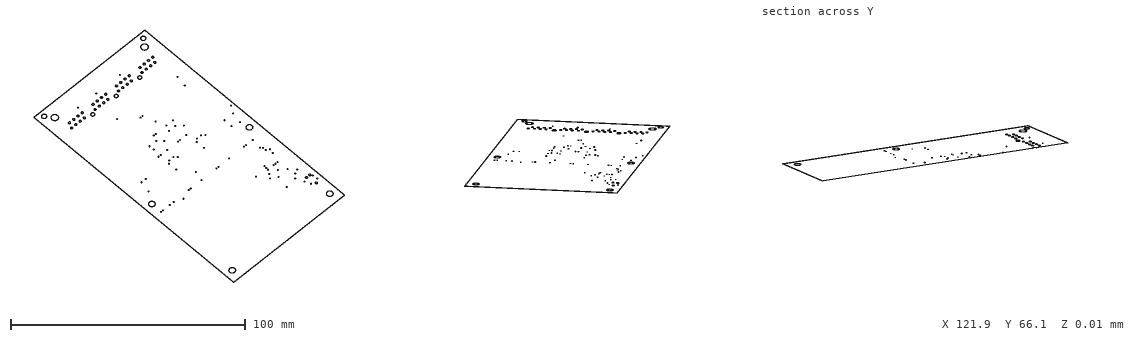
import cadquery as cq

board_length = 121.9
board_width = 66.1
board_thickness = 0.01

locating_peg_diameter = 3.2
mounting_diameter = 2.8
edge_peg_diameter = 2.2
shield_tab_diameter = 1.7
power_pin_diameter = 0.95
connector_pin_diameter = 0.89
via_diameter = 0.33

locating_peg_x = -54.6
locating_peg_y = 26.7
edge_peg_x = -58.3
edge_peg_y = 29.5
mounting_xs = (7.0, 56.0)
mounting_y = 29.0

port_count = 4
first_to_last_port = 42.0
port_pitch = first_to_last_port / (port_count - 1)
pins_per_port = 8
first_to_last_pin = 8.9
pin_step = first_to_last_pin / (pins_per_port - 1)
inner_pin_row_x = -45.7
outer_pin_row_x = -48.3
shield_tab_x = -44.5

power_pins = [(42.9, 29.9), (42.9, 27.9), (47.9, 28.9)]

channel_count = 4
first_to_last_channel = 49.4
channel_pitch = first_to_last_channel / (channel_count - 1)
first_channel_y = -25.4
channel_vias = [
    (-4.4, 1.2, (0, 1, 2)),
    (-4.4, 3.8, (0, 1, 2)),
    (-3.2, 0, (1, 2, 3)),
    (-3.2, 5.1, (1, 2, 3)),
    (1.2, 0, (0, 1, 2, 3)),
    (12.7, -3.8, (0, 1, 2, 3)),
    (12.7, -2.5, (0, 1, 2, 3)),
    (12.7, 3.8, (0, 1, 2)),
    (12.7, 1.3, (0, 3)),
]

chip_via_columns = [
    (-18.4, (-3.2, -2.0, 4.4, 8.3)),
    (-15.6, (-8.4, -4.4, 3.2, 7.0)),
    (-13.2, (-8.3, -2.0, 9.6)),
    (-8.9, (-9.5, -8.3, -4.4, 2.0, 3.2, 7.0)),
]

connector_vias = [
    (-51.5, 8.9), (-51.5, -5.1), (-51.5, -16.0), (-35.5, -8.3), (-33.5, 25.7),
    (-29.1, 0.6), (-29.1, -0.6), (-28.0, 24.7), (-23.2, 2.5),
]

channel_link_vias = [(-6.7, 31.5), (2.2, 28.0), (7.9, -3.8), (14.4, -17.4)]

supply_vias = [
    (17.8, 24.7), (18.8, 25.6), (20.4, 25.6), (21.3, 27.2), (23.5, 26.7),
    (26.1, 19.3), (27.3, 19.1), (27.5, 12.8), (28.5, 19.0), (28.5, 22.4), (28.5, 23.5), (28.5, 24.7),
    (30.5, 17.8), (31.6, 22.0), (32.4, 16.5), (34.1, 25.2), (34.4, 19.6),
    (37.2, 28.0), (38.0, 26.0), (40.0, 24.0), (40.6, 18.4),
    (43.9, 25.7), (44.0, 30.5), (46.6, 27.0), (46.6, 30.7),
]


def evenly_spaced(count, pitch):
    """Places at the given pitch, centred on zero."""
    return [(index - (count - 1) / 2) * pitch for index in range(count)]


def mirrored(x, y):
    return [(x, y), (x, -y)]


def connector_pins():
    points = []
    for port_y in evenly_spaced(port_count, port_pitch):
        for index, pin_y in enumerate(evenly_spaced(pins_per_port, pin_step)):
            row_x = inner_pin_row_x if index % 2 == 0 else outer_pin_row_x
            points.append((row_x, port_y + pin_y))
    return points


def shield_tabs():
    return [(shield_tab_x, y) for y in evenly_spaced(port_count - 1, port_pitch)]


def channel_points():
    points = []
    for x, offset, channels in channel_vias:
        for channel in channels:
            points.append((x, first_channel_y + channel * channel_pitch + offset))
    return points


def chip_points():
    return [(x, y) for x, column in chip_via_columns for y in column]


def drill(board, points, diameter):
    return board.faces(">Z").workplane(origin=(0, 0, 0)).pushPoints(points).hole(diameter)


mounting_points = [point for x in mounting_xs for point in mirrored(x, mounting_y)]
via_points = channel_points() + chip_points() + connector_vias + channel_link_vias + supply_vias

result = cq.Workplane("XY").box(board_length, board_width, board_thickness)
result = drill(result, mirrored(locating_peg_x, locating_peg_y), locating_peg_diameter)
result = drill(result, mounting_points, mounting_diameter)
result = drill(result, mirrored(edge_peg_x, edge_peg_y), edge_peg_diameter)
result = drill(result, shield_tabs(), shield_tab_diameter)
result = drill(result, power_pins, power_pin_diameter)
result = drill(result, connector_pins(), connector_pin_diameter)
result = drill(result, via_points, via_diameter)